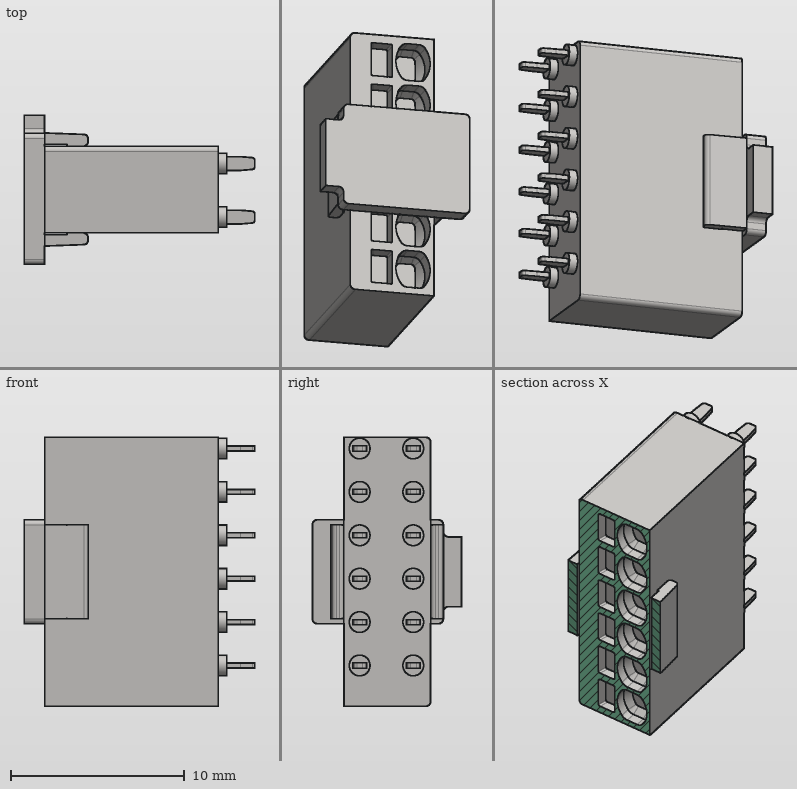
import cadquery as cq
import math


HOUSING_LENGTH = 10.0
HOUSING_WIDTH = 5.0
HOUSING_HEIGHT = 15.5
HOUSING_EDGE_RADIUS = 0.3

POLE_COUNT = 6
POLE_END_DISTANCE = 1.5
POLE_PITCH = (HOUSING_HEIGHT - 2 * POLE_END_DISTANCE) / (POLE_COUNT - 1)

SLOT_Y_MIN = 2.5
SLOT_WIDTH = 1.25
SLOT_HEIGHT = 1.98
SLOT_DEPTH = 1.08
SLOT_WALL_INSET = 0.28
SLOT_CORNER_RADIUS = 0.1

ENTRY_Y = 1.25
ENTRY_WIDTH = 2.05
ENTRY_HEIGHT = 2.22
ENTRY_FLAT = 0.68
ENTRY_SIDE_RADIUS = 1.53
MOUTH_DEPTH = 1.15
FUNNEL_DEPTH = 0.8
FLOOR_DEPTH = 0.5
FUNNEL_ANGLE = 30.0
FLOOR_EDGE = 0.57

PIN_ROWS_Y = (0.91, 4.0)
PIN_RISE = 0.85
COLLAR_DIAMETER = 1.2
COLLAR_LENGTH = 0.5
BLADE_LENGTH = 1.61
BLADE_STRAIGHT = 0.78
BLADE_WIDTH = 0.8
BLADE_TIP_WIDTH = 0.67
BLADE_TIP_RADIUS = 0.19
BLADE_THICKNESS = 0.3

PLATE_THICKNESS = 1.2
PLATE_HEIGHT = 6.0
PLATE_Y_MIN = -1.81
PLATE_Y_MAX = 5.74
PLATE_RADIUS = 0.3
TAB_LENGTH = 1.05
TAB_HEIGHT = 4.03
LEG_LENGTH = 2.5
LEG_HEIGHT = 5.4
LEG_ROOT_REACH = 0.76
LEG_TIP_REACH = 0.67
LEG_GAP = 0.1
LEG_GAP_LENGTH = 1.27
LEG_TIP_RADIUS = 0.25


def pole_heights():
    """Z of the middle of each pole, from the bottom up."""
    lowest = POLE_END_DISTANCE - HOUSING_HEIGHT / 2
    return [lowest + index * POLE_PITCH for index in range(POLE_COUNT)]


def make_block():
    block = cq.Workplane("XY").box(
        HOUSING_LENGTH, HOUSING_WIDTH, HOUSING_HEIGHT, centered=(False, False, True)
    )
    return block.faces(">Y").edges("|X").fillet(HOUSING_EDGE_RADIUS)


def make_slot(z):
    """Cutter for a release slot: +Y wall slanting inwards, rounded edges running into the depth."""
    y_max = SLOT_Y_MIN + SLOT_WIDTH
    profile = [
        (0, SLOT_Y_MIN),
        (SLOT_DEPTH, SLOT_Y_MIN),
        (SLOT_DEPTH, y_max - SLOT_WALL_INSET),
        (0, y_max),
    ]
    sketch = cq.Workplane("XY", origin=(0, 0, z)).polyline(profile).close()
    slot = sketch.extrude(SLOT_HEIGHT / 2, both=True)
    return slot.edges("not (|Y or |Z)").fillet(SLOT_CORNER_RADIUS)


def entry_outline(x, z):
    """Wire entry outline: flat top and bottom, round sides, and corner arcs tangent to both."""
    half_width = ENTRY_WIDTH / 2
    half_height = ENTRY_HEIGHT / 2
    half_flat = ENTRY_FLAT / 2

    side_centre = half_width - ENTRY_SIDE_RADIUS
    across = half_flat - side_centre
    tangency = ENTRY_SIDE_RADIUS**2 - across**2 - half_height**2
    corner_radius = tangency / (2 * (ENTRY_SIDE_RADIUS - half_height))
    corner_z = half_height - corner_radius
    join_angle = math.atan2(corner_z, across)
    join_y = side_centre + ENTRY_SIDE_RADIUS * math.cos(join_angle)
    join_z = ENTRY_SIDE_RADIUS * math.sin(join_angle)
    middle_angle = (join_angle + math.pi / 2) / 2
    middle_y = half_flat + corner_radius * math.cos(middle_angle)
    middle_z = corner_z + corner_radius * math.sin(middle_angle)

    return (
        cq.Workplane("YZ", origin=(x, ENTRY_Y, z))
        .moveTo(-half_flat, half_height)
        .lineTo(half_flat, half_height)
        .threePointArc((middle_y, middle_z), (join_y, join_z))
        .threePointArc((half_width, 0), (join_y, -join_z))
        .threePointArc((middle_y, -middle_z), (half_flat, -half_height))
        .lineTo(-half_flat, -half_height)
        .threePointArc((-middle_y, -middle_z), (-join_y, -join_z))
        .threePointArc((-half_width, 0), (-join_y, join_z))
        .threePointArc((-middle_y, middle_z), (-half_flat, half_height))
        .close()
    )


def make_entry(z):
    """Cutter for a wire entry: the mouth, then the funnel with a raised floor on its +Y side."""
    mouth = entry_outline(0, z).extrude(MOUTH_DEPTH)
    funnel = entry_outline(MOUTH_DEPTH, z).extrude(FUNNEL_DEPTH, taper=FUNNEL_ANGLE)
    floor = (
        cq.Workplane("XY", origin=(MOUTH_DEPTH + FLOOR_DEPTH, ENTRY_Y - FLOOR_EDGE, z))
        .box(FUNNEL_DEPTH, ENTRY_WIDTH, ENTRY_HEIGHT, centered=(False, False, True))
    )
    return mouth.union(funnel.cut(floor))


def make_pin(y, z):
    """Round collar with a flat blade that tapers to a rounded tip."""
    collar_base = cq.Workplane("YZ", origin=(HOUSING_LENGTH, y, z))
    collar = collar_base.circle(COLLAR_DIAMETER / 2).extrude(COLLAR_LENGTH)
    outline = [
        (0, -BLADE_WIDTH / 2),
        (BLADE_STRAIGHT, -BLADE_WIDTH / 2),
        (BLADE_LENGTH, -BLADE_TIP_WIDTH / 2),
        (BLADE_LENGTH, BLADE_TIP_WIDTH / 2),
        (BLADE_STRAIGHT, BLADE_WIDTH / 2),
        (0, BLADE_WIDTH / 2),
    ]
    blade = (
        cq.Workplane("XY", origin=(HOUSING_LENGTH + COLLAR_LENGTH, y, z))
        .polyline(outline)
        .close()
        .extrude(BLADE_THICKNESS / 2, both=True)
        .faces(">X")
        .edges("|Z")
        .fillet(BLADE_TIP_RADIUS)
    )
    return collar.union(blade)


def make_housing():
    housing = make_block()
    for z in pole_heights():
        housing = housing.cut(make_slot(z)).cut(make_entry(z))
        for y in PIN_ROWS_Y:
            housing = housing.union(make_pin(y, z + PIN_RISE))
    return housing


def make_plate():
    plate = (
        cq.Workplane("XY", origin=(-PLATE_THICKNESS, PLATE_Y_MIN, 0))
        .box(PLATE_THICKNESS, PLATE_Y_MAX - PLATE_Y_MIN, PLATE_HEIGHT, centered=(False, False, True))
    )
    tab = (
        cq.Workplane("XY", origin=(-PLATE_THICKNESS, PLATE_Y_MAX, 0))
        .box(PLATE_THICKNESS, TAB_LENGTH, TAB_HEIGHT, centered=(False, False, True))
    )
    return plate.union(tab).edges("|X and (not >Y)").fillet(PLATE_RADIUS)


def make_leg(face_y, outward):
    """Leg beside the housing face at face_y; outward is the sign of Y pointing away from it."""
    outline = [
        (0, face_y + outward * LEG_GAP),
        (LEG_GAP_LENGTH, face_y + outward * LEG_GAP),
        (LEG_GAP_LENGTH, face_y),
        (LEG_LENGTH, face_y),
        (LEG_LENGTH, face_y + outward * LEG_TIP_REACH),
        (0, face_y + outward * LEG_ROOT_REACH),
    ]
    leg = cq.Workplane("XY").polyline(outline).close().extrude(LEG_HEIGHT / 2, both=True)
    return leg.faces(">X").edges("|Z").fillet(LEG_TIP_RADIUS)


def make_cap():
    return make_plate().union(make_leg(0, -1)).union(make_leg(HOUSING_WIDTH, 1))


housing = make_housing()
cap = make_cap()

result = cq.Compound.makeCompound([housing.val(), cap.val()])